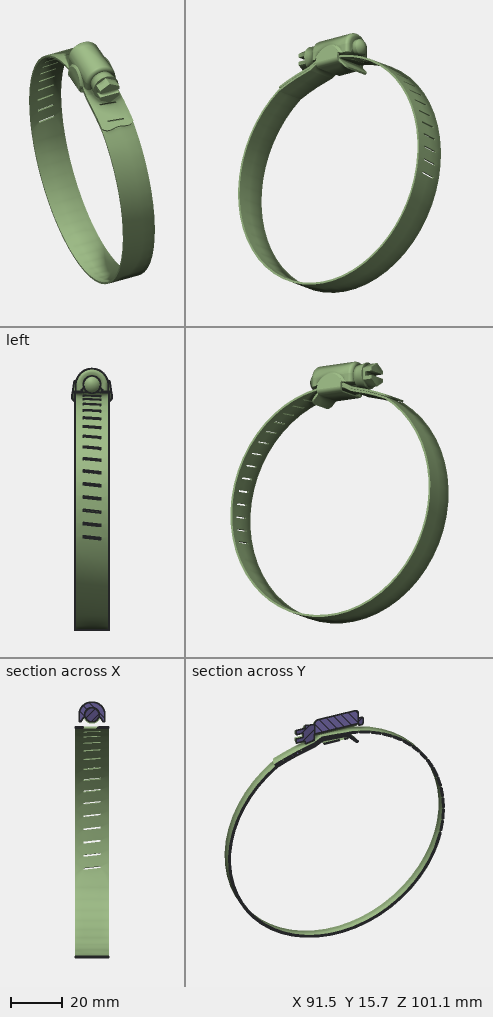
import cadquery as cq
import math


total_height = 101.1
ring_diameter = 91.5
saddle_width = 15.7

band_width = 13.1
band_thickness = 0.8
layer_drop = 0.96
bend_start = (5.9, 45.7)
bend_end = (9.4, 43.8)
overlap_mid = (17.8, 41.5)
overlap_end = (26.0, 38.4)
ring_start_x = 25.3
tab_bend = (-5.0, 44.1)
tab_tip = (-9.0, 39.9)
tab_corner_radius = 2.2
tail_corner_setback = 1.2
tail_middle_setback = 0.6
tail_tip_y = 4.0
tail_waste_length = 1.2

slot_length = 6.7
slot_width = 0.7
slot_tilt = 6.5
slot_pitch_angle = 6.5
first_slot_angle = 78.3
ring_slot_count = 15
overlap_slot_stations = (15.3, 22.8)
layer_cutter_depth = 0.9

housing_length = 18.7
barrel_width = 12.4
barrel_arch_height = 5.7
housing_bottom = 46.4
end_fillet = 1.5
channel_mouth_half = 4.3
channel_neck = (3.1, 48.2)
saddle_length = 10.7
saddle_bottom = 42.6
saddle_bend_radius = 1.9
saddle_floor = 0.5
saddle_window_width = 13.3
lug_top = 50.9
lug_radius = 7.4
lug_bevel = 0.9
lug_bevel_start_y = 6.4
lug_inner_y = 5.6
lug_lean = 9.0

screw_axis_z = 49.1
shank_radius = 2.7
tip_radius = 3.3
tip_straight = 1.6
tip_dome = 1.7
collar_length = 4.0
collar_small_radius = 4.7
collar_large_radius = 5.3
hex_corner_radius = 4.7
hex_length = 3.8
drive_slot_width = 1.7
drive_slot_depth = 3.1

ring_radius = ring_diameter / 2
ring_mid_radius = ring_radius - band_thickness / 2
housing_top = total_height - ring_radius
half_housing = housing_length / 2
arch_spring_z = housing_top - barrel_arch_height


def x_prism(outline, x_start, x_end):
    """Extrude a closed YZ sketch along X between two stations."""
    return outline(cq.Workplane("YZ", origin=(x_start, 0, 0))).close().extrude(x_end - x_start)


def circle_through(a, b, c):
    """Centre and radius of the circle through three points."""
    bx, bz = b[0] - a[0], b[1] - a[1]
    cx, cz = c[0] - a[0], c[1] - a[1]
    det = 2 * (bx * cz - bz * cx)
    b_square = bx**2 + bz**2
    c_square = cx**2 + cz**2
    dx = (cz * b_square - bz * c_square) / det
    dz = (bx * c_square - cx * b_square) / det
    return (a[0] + dx, a[1] + dz), math.hypot(dx, dz)


def lowered(point):
    """Point of the lower band layer that lies under a point of the upper layer."""
    return (point[0], point[1] - layer_drop)


def make_band_strip():
    """Sweep the band section from the tab, round the ring, to the overlapping tail."""
    ring_start = (ring_start_x, math.sqrt(ring_mid_radius**2 - ring_start_x**2))
    path = (
        cq.Workplane("XZ")
        .moveTo(*tab_tip)
        .lineTo(*tab_bend)
        .lineTo(*lowered(bend_start))
        .lineTo(*lowered(bend_end))
        .threePointArc(lowered(overlap_mid), ring_start)
        .threePointArc((0, -ring_mid_radius), (0, ring_mid_radius))
        .lineTo(*bend_start)
        .lineTo(*bend_end)
        .threePointArc(overlap_mid, overlap_end)
    )
    start = cq.Vector(tab_tip[0], 0, tab_tip[1])
    direction = cq.Vector(tab_bend[0] - tab_tip[0], 0, tab_bend[1] - tab_tip[1])
    section_plane = cq.Plane(origin=start, xDir=(0, 1, 0), normal=direction)
    section = cq.Workplane(section_plane).rect(band_width, band_thickness)
    return section.sweep(path, transition="right")


def slot_cutter(centre, radius, turn):
    """Tilted slot at a radius from a centre, turned by an angle from +Z towards +X."""
    return (
        cq.Workplane("XY")
        .box(slot_width, slot_length, layer_cutter_depth)
        .rotate((0, 0, 0), (0, 0, 1), -slot_tilt)
        .translate((0, 0, radius))
        .rotate((0, 0, 0), (0, 1, 0), turn)
        .translate((centre[0], 0, centre[1]))
    )


def tail_cutter(centre):
    """Waste beyond the wavy end of the upper layer, one layer thick."""
    outward = cq.Vector(overlap_end[0] - centre[0], 0, overlap_end[1] - centre[1])
    along = cq.Vector(0, 1, 0).cross(outward)
    plane = cq.Plane(origin=(overlap_end[0], 0, overlap_end[1]), xDir=along, normal=outward)
    half_band = band_width / 2
    return (
        cq.Workplane(plane)
        .moveTo(-tail_corner_setback, -half_band)
        .spline(
            [
                (0, -tail_tip_y),
                (-tail_middle_setback, 0),
                (0, tail_tip_y),
                (-tail_corner_setback, half_band),
            ],
            includeCurrent=True,
        )
        .lineTo(tail_waste_length, half_band)
        .lineTo(tail_waste_length, -half_band)
        .close()
        .extrude(layer_cutter_depth / 2, both=True)
    )


def make_band():
    """Band with a rounded tab, a wavy tail and slots."""
    band = make_band_strip()
    tab_normal = cq.Vector(tab_bend[1] - tab_tip[1], 0, tab_tip[0] - tab_bend[0])
    tab_corners = cq.selectors.ParallelDirSelector(tab_normal)
    band = band.edges(tab_corners).edges("<X").fillet(tab_corner_radius)
    centre, radius = circle_through(bend_end, overlap_mid, overlap_end)
    band = band.cut(tail_cutter(centre))
    for index in range(ring_slot_count):
        turn = first_slot_angle - index * slot_pitch_angle - 90
        band = band.cut(slot_cutter((0, 0), ring_mid_radius, turn))
    for station in overlap_slot_stations:
        turn = math.degrees(math.asin((station - centre[0]) / radius))
        band = band.cut(slot_cutter(centre, radius, turn))
    return band


def make_barrel():
    """Arched barrel with both ends rounded."""
    half_width = barrel_width / 2

    def arch(plane):
        return (
            plane.moveTo(-half_width, housing_bottom)
            .lineTo(-half_width, arch_spring_z)
            .threePointArc((0, housing_top), (half_width, arch_spring_z))
            .lineTo(half_width, housing_bottom)
        )

    barrel = x_prism(arch, -half_housing, half_housing)
    return barrel.faces("<X or >X").edges("not(<Z)").fillet(end_fillet)


def make_channel():
    """Screw bore that flares open through the underside of the barrel."""
    neck_half, neck_z = channel_neck

    def flare(plane):
        return (
            plane.moveTo(-channel_mouth_half, housing_bottom)
            .lineTo(-neck_half, neck_z)
            .lineTo(neck_half, neck_z)
            .lineTo(channel_mouth_half, housing_bottom)
        )

    bore_start = cq.Workplane("YZ", origin=(-half_housing, 0, 0))
    bore = bore_start.center(0, screw_axis_z).circle(shank_radius).extrude(housing_length)
    return x_prism(flare, -half_housing, half_housing).union(bore)


def make_saddle():
    """Strap under the band with a bevelled, domed lug up each side of the barrel."""
    half_width = saddle_width / 2
    bend_z = saddle_bottom + saddle_bend_radius
    bend_y = half_width - saddle_bend_radius
    bend_mid = saddle_bend_radius * math.sqrt(0.5)
    top_half = half_width - (lug_top - bend_z) * math.tan(math.radians(lug_lean))

    def leaning_section(plane):
        return (
            plane.moveTo(-top_half, lug_top)
            .lineTo(-half_width, bend_z)
            .threePointArc((-bend_y - bend_mid, bend_z - bend_mid), (-bend_y, saddle_bottom))
            .lineTo(bend_y, saddle_bottom)
            .threePointArc((bend_y + bend_mid, bend_z - bend_mid), (half_width, bend_z))
            .lineTo(top_half, lug_top)
        )

    strap_height = housing_bottom - saddle_bottom
    strap = (
        cq.Workplane("XY", origin=(0, 0, saddle_bottom))
        .rect(saddle_length, saddle_width)
        .extrude(strap_height)
    )
    window = (
        cq.Workplane("XY", origin=(0, 0, saddle_bottom + saddle_floor))
        .rect(saddle_length, saddle_window_width)
        .extrude(strap_height - saddle_floor)
    )

    lug_axis_z = lug_top - lug_radius
    lug = (
        cq.Workplane("XY", origin=(0, 0, lug_axis_z))
        .moveTo(0, lug_inner_y)
        .lineTo(lug_radius, lug_inner_y)
        .lineTo(lug_radius, lug_bevel_start_y)
        .lineTo(lug_radius - lug_bevel, lug_bevel_start_y + lug_bevel)
        .lineTo(lug_radius - lug_bevel, half_width)
        .lineTo(0, half_width)
        .close()
        .revolve(360, (0, 0, 0), (0, 1, 0))
    )
    below_barrel = (
        cq.Workplane("XY", origin=(0, 0, housing_bottom))
        .rect(4 * lug_radius, 2 * saddle_width)
        .extrude(-2 * lug_radius)
    )
    lug = lug.cut(below_barrel)
    saddle = strap.cut(window).union(lug).union(lug.mirror("XZ"))
    return saddle.intersect(x_prism(leaning_section, -lug_radius, lug_radius))


def make_housing():
    """Barrel joined to its saddle and opened by the screw channel."""
    return make_barrel().union(make_saddle()).cut(make_channel())


def make_screw():
    """Shank with a domed tip, tapered collar and slotted hexagon head."""
    tip_x = -half_housing - tip_straight
    collar_end = half_housing + collar_length
    dome_radius = (tip_radius**2 + tip_dome**2) / (2 * tip_dome)
    dome_mid_r = tip_radius / 2
    dome_mid_x = tip_x - tip_dome + dome_radius - math.sqrt(dome_radius**2 - dome_mid_r**2)
    body = (
        cq.Workplane("XZ")
        .moveTo(tip_x - tip_dome, 0)
        .threePointArc((dome_mid_x, dome_mid_r), (tip_x, tip_radius))
        .lineTo(-half_housing, tip_radius)
        .lineTo(-half_housing, shank_radius)
        .lineTo(half_housing, shank_radius)
        .lineTo(half_housing, collar_small_radius)
        .lineTo(collar_end, collar_large_radius)
        .lineTo(collar_end, 0)
        .close()
        .revolve(360, (0, 0, 0), (1, 0, 0))
    )
    head = (
        cq.Workplane("YZ", origin=(collar_end, 0, 0))
        .polygon(6, 2 * hex_corner_radius)
        .extrude(hex_length)
        .rotate((0, 0, 0), (1, 0, 0), 90)
    )
    drive_slot = (
        cq.Workplane("YZ", origin=(collar_end + hex_length, 0, 0))
        .rect(2 * hex_corner_radius, drive_slot_width)
        .extrude(-drive_slot_depth)
    )
    return body.union(head).cut(drive_slot).translate((0, 0, screw_axis_z))


band = make_band().solids()
housing = make_housing().solids()
screw = make_screw().solids()

result = cq.Compound.makeCompound([band.val(), housing.val(), screw.val()])